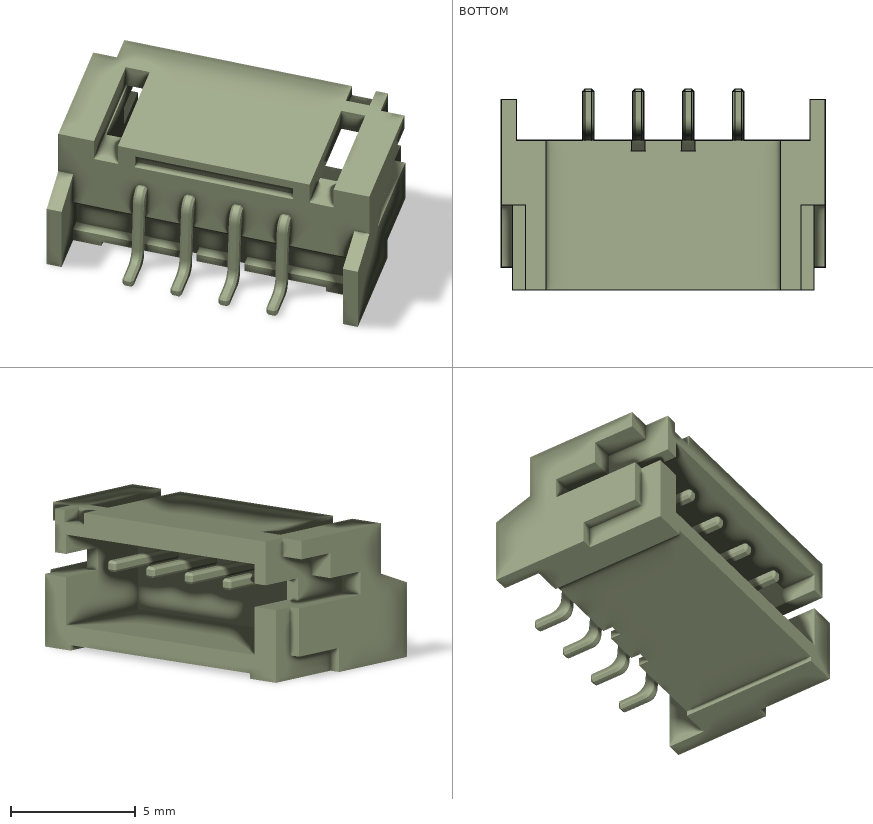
import cadquery as cq
import math


width = 13.0
height = 5.7
body_depth = 6.0
half_width = width / 2

cavity_half_width = 4.94
cavity_depth = 4.5
cavity_floor_z = 1.0
cavity_roof_z = 4.7

ear_thickness = 0.62
ear_depth = 7.65
ear_slope_top_z = 3.64
ear_slope_bottom_z = 3.04

undercut_depth = 0.44
undercut_roof_z = 2.1
undercut_slope_z = 1.62
ledge_top_z = 0.6
ledge_notch_width = 0.55

relief_half_width = 4.69
relief_height = 0.22

back_recess_width = 6.6
back_recess_depth = 0.31
back_recess_top_z = 5.3

slot_inner_x = 4.0
slot_outer_x = 5.0
slot_front_depth = 1.51
key_notch_depth = 0.88
key_notch_height = 0.5

side_recess_x = 5.51
side_top_step_depth = 1.05
side_middle_step_depth = 2.86
side_window_depth = 2.0
side_bottom_step_depth = 4.75
side_middle_z = 4.94
side_window_top_z = 3.91
side_window_bottom_z = 2.96

tab_outer_x = 6.05
tab_inner_x = side_recess_x
tab_upright_length = 0.91
tab_foot_length = 3.4
tab_foot_height = 0.99

pin_count = 4
pin_pitch = 2.0
pin_size = 0.45
pin_chamfer = 0.1
pin_axis_z = 3.56
pin_tip_depth = 0.48
pin_foot_depth = 8.06
pin_bend_depth = 6.55
pin_upper_bend = 0.58
pin_lower_bend = 0.47
pin_lean = math.radians(4.7)

pin_positions = [(i - (pin_count - 1) / 2) * pin_pitch for i in range(pin_count)]
inner_pin_positions = pin_positions[1:-1]


def block(x_range, depth_range, z_range):
    """Axis-aligned block between two X values, two depths and two heights."""
    x_low, x_high = sorted(x_range)
    depth_low, depth_high = sorted(depth_range)
    z_low, z_high = sorted(z_range)
    return cq.Workplane("XY").box(
        x_high - x_low, depth_high - depth_low, z_high - z_low, centered=False
    ).translate((x_low, -depth_high, z_low))


def side_profile(points, x_start, thickness):
    """Prism along +X from an outline of (depth, z) points."""
    outline = [(-depth, z) for depth, z in points]
    return cq.Workplane("YZ").polyline(outline).close().extrude(thickness).translate((x_start, 0, 0))


def make_ear(side):
    """Plate behind the back wall at one end, with a sloping top edge."""
    points = [
        (body_depth, 0),
        (ear_depth, 0),
        (ear_depth, ear_slope_bottom_z),
        (body_depth, ear_slope_top_z),
    ]
    x_start = half_width - ear_thickness if side > 0 else -half_width
    return side_profile(points, x_start, ear_thickness)


def make_undercut():
    """Hollow across the back wall between the ears, above the foot ledge."""
    inner_depth = body_depth - undercut_depth
    points = [
        (body_depth, ledge_top_z),
        (inner_depth, ledge_top_z),
        (inner_depth, undercut_slope_z),
        (body_depth, undercut_roof_z),
    ]
    ear_inner_x = half_width - ear_thickness
    return side_profile(points, -ear_inner_x, 2 * ear_inner_x)


def make_back_recess():
    """Long blind recess high on the back wall."""
    return block(
        (-back_recess_width / 2, back_recess_width / 2),
        (body_depth - back_recess_depth, body_depth),
        (cavity_roof_z, back_recess_top_z),
    )


def make_side_recess(side):
    """Stepped recess on one side, with a window into the cavity at the mating face."""
    recess_x = (side * side_recess_x, side * half_width)
    window_x = (side * cavity_half_width, side * half_width)
    window_z = (side_window_bottom_z, side_window_top_z)
    upper = block(recess_x, (0, side_top_step_depth), (side_window_top_z, height))
    middle = block(recess_x, (0, side_middle_step_depth), (side_window_top_z, side_middle_z))
    lower = block(recess_x, (0, side_bottom_step_depth), window_z)
    window = block(window_x, (0, side_window_depth), window_z)
    return upper.union(middle).union(lower).union(window)


def make_tab_shape(side, outer_x):
    """L-shaped plate on one side, from the tab's inner face out to outer_x."""
    tab_x = (side * tab_inner_x, side * outer_x)
    upright = block(tab_x, (0, tab_upright_length), (0, side_window_bottom_z))
    foot = block(tab_x, (0, tab_foot_length), (0, tab_foot_height))
    return upright.union(foot)


def make_tab(side):
    """Solder tab, set back from the outer side of the housing."""
    return make_tab_shape(side, tab_outer_x)


def make_pin(x):
    """Square wire with an S-shaped bend, from the mating tip down to the solder foot."""
    half_size = pin_size / 2
    top_z = pin_axis_z + half_size
    under_z = pin_axis_z - half_size
    leg_section = pin_size / math.cos(pin_lean)

    def leg_depth(z):
        """Depth of the leg's outer face at height z."""
        return pin_bend_depth + (top_z - z) * math.tan(pin_lean)

    upper_outer = (leg_depth(top_z), top_z)
    upper_inner = (leg_depth(under_z) - leg_section, under_z)
    lower_inner = (leg_depth(pin_size), pin_size)
    lower_outer = (leg_depth(0) - leg_section, 0)
    points = [
        (pin_tip_depth, top_z),
        upper_outer,
        lower_inner,
        (pin_foot_depth, pin_size),
        (pin_foot_depth, 0),
        lower_outer,
        upper_inner,
        (pin_tip_depth, under_z),
    ]
    wire = side_profile(points, x - half_size, pin_size)
    bends = [
        (upper_outer, pin_upper_bend),
        (upper_inner, pin_upper_bend),
        (lower_inner, pin_lower_bend),
        (lower_outer, pin_lower_bend),
    ]
    for (depth, z), radius in bends:
        wire = wire.edges(cq.selectors.NearestToPointSelector((x, -depth, z))).fillet(radius)
    return wire.edges().chamfer(pin_chamfer)


def make_housing(pins):
    """Housing with its cavity, slots, recesses, tab seats and pin holes."""
    body = block((-half_width, half_width), (0, body_depth), (0, height))
    body = body.cut(
        block((-cavity_half_width, cavity_half_width), (0, cavity_depth), (cavity_floor_z, cavity_roof_z))
    )
    body = body.cut(make_undercut())
    body = body.cut(make_back_recess())
    for side in (-1, 1):
        body = body.union(make_ear(side))
        slot_x = (side * slot_inner_x, side * slot_outer_x)
        body = body.cut(block(slot_x, (slot_front_depth, body_depth), (cavity_roof_z, height)))
        body = body.cut(make_side_recess(side))
        body = body.cut(make_tab_shape(side, half_width))
    body = body.cut(
        block((slot_inner_x, slot_outer_x), (0, key_notch_depth), (height - key_notch_height, height))
    )
    body = body.cut(block((-relief_half_width, relief_half_width), (0, body_depth), (0, relief_height)))
    for x in inner_pin_positions:
        notch_x = (x - ledge_notch_width / 2, x + ledge_notch_width / 2)
        body = body.cut(block(notch_x, (body_depth - undercut_depth, body_depth), (0, ledge_top_z)))
    for pin in pins:
        body = body.cut(pin)
    return body


pins = [make_pin(x) for x in pin_positions]
tabs = [make_tab(side) for side in (-1, 1)]
housing = make_housing(pins)

result = cq.Compound.makeCompound(
    [housing.val(), *[pin.val() for pin in pins], *[tab.val() for tab in tabs]]
)